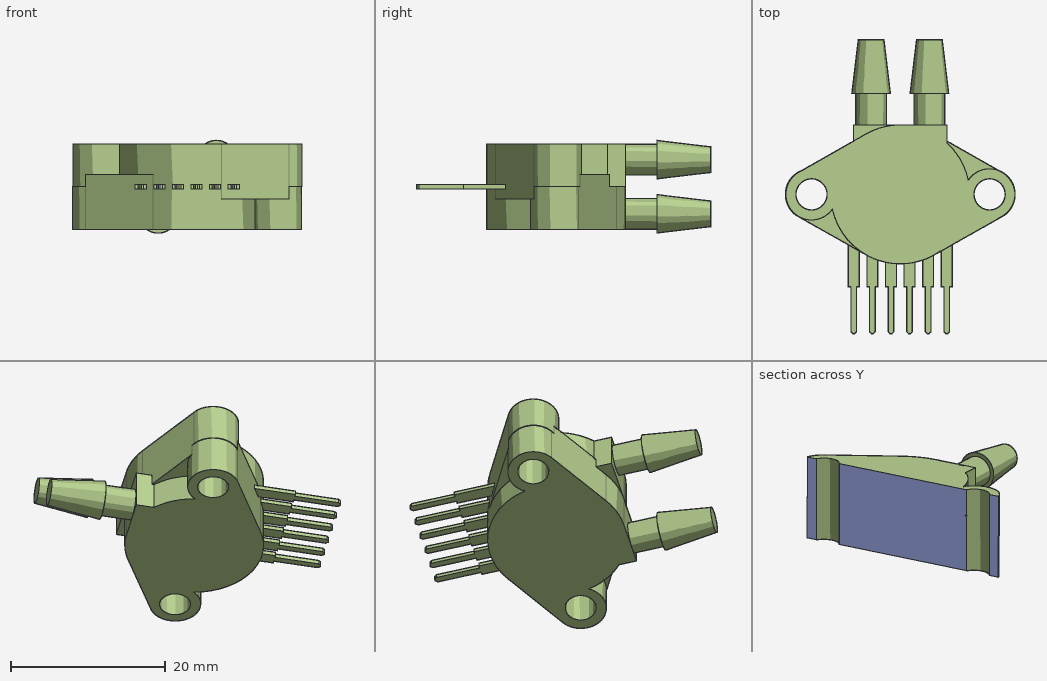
import cadquery as cq
import math

body_radius = 8.95
lug_radius = 3.3
lug_span = 29.68
lug_mismatch = 0.08
right_lug_x = lug_span / 2 - lug_radius
left_lug_x = lug_mismatch - right_lug_x
shell_height = 5.55
hole_diameter = 4.0
flank_height = 7.1

block_half_width = 6.05
port_x = 3.75
port_z = 3.5
stem_diameter = 4.0
stem_length = 4.03
barb_base_diameter = 5.0
barb_tip_diameter = 3.35
barb_length = 7.0

pin_count = 6
pin_row_width = 12.0
pin_pitch = pin_row_width / (pin_count - 1)
pin_thickness = 0.6
pin_root_width = 1.45
pin_blade_width = 0.75
pin_tip_width = 0.23
pin_root_y = -4.55
pin_shoulder_y = -11.95
pin_tip_length = 0.3
overall_length = 38.0
pin_end_y = body_radius + stem_length + barb_length - overall_length


def cylinder(x, diameter, height):
    return cq.Workplane("XY").center(x, 0).circle(diameter / 2).extrude(height)


def make_flank(lug_x):
    """Solid bounded by the line tangent to body and lug: back side on the left, front side on the right."""
    normal_x = (body_radius - lug_radius) / lug_x
    normal_y = -math.copysign(math.sqrt(1 - normal_x**2), lug_x)
    outline = [
        (0, 0),
        (body_radius * normal_x, body_radius * normal_y),
        (lug_x + lug_radius * normal_x, lug_radius * normal_y),
        (lug_x, 0),
    ]
    bottom_z = shell_height - flank_height
    return cq.Workplane("XY").workplane(offset=bottom_z).polyline(outline).close().extrude(flank_height)


def make_port():
    """Straight stem and tapered hose barb, turned about an axis along Y."""
    barb_start = body_radius + stem_length
    barb_end = barb_start + barb_length
    profile = [
        (0, 0),
        (stem_diameter / 2, 0),
        (stem_diameter / 2, barb_start),
        (barb_base_diameter / 2, barb_start),
        (barb_tip_diameter / 2, barb_end),
        (0, barb_end),
    ]
    port = cq.Workplane("XY").polyline(profile).close().revolve(360, (0, 0), (0, 1))
    return port.translate((port_x, 0, port_z))


def make_upper_shell():
    shell = cylinder(0, 2 * body_radius, shell_height)
    for lug_x in (left_lug_x, right_lug_x):
        shell = shell.union(cylinder(lug_x, 2 * lug_radius, shell_height))
        shell = shell.union(make_flank(lug_x))
    block = cq.Workplane("XY").box(block_half_width, body_radius, shell_height, centered=False)
    return shell.union(block).union(make_port())


def make_pin(x):
    root = pin_root_width / 2
    blade = pin_blade_width / 2
    tip = pin_tip_width / 2
    tip_y = pin_end_y + pin_tip_length
    right_edge = [
        (root, pin_root_y),
        (root, pin_shoulder_y),
        (blade, pin_shoulder_y),
        (blade, tip_y),
        (tip, pin_end_y),
    ]
    left_edge = [(-edge_x, y) for edge_x, y in reversed(right_edge)]
    pin = cq.Workplane("XY").polyline(right_edge + left_edge).close().extrude(pin_thickness / 2, both=True)
    return pin.translate((x, 0, 0))


upper_shell = make_upper_shell()
lower_shell = upper_shell.rotate((0, 0, 0), (0, 1, 0), 180)
result = upper_shell.union(lower_shell)

for lug_x in (left_lug_x, right_lug_x):
    hole = cylinder(lug_x, hole_diameter, 2 * shell_height)
    result = result.cut(hole.translate((0, 0, -shell_height)))

for index in range(pin_count):
    result = result.union(make_pin(index * pin_pitch - pin_row_width / 2))